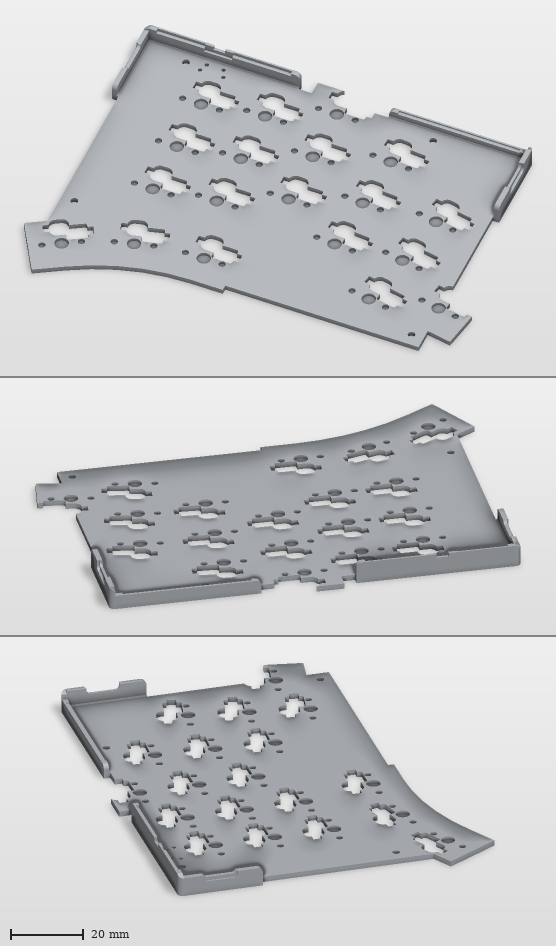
import cadquery as cq
import math


plate_thickness = 1.6
plate_left = 5.7
plate_right = 118.1
plate_front = 15.5
plate_back = 90.25

key_half_width = 9.4
key_half_depth = 8.7
row_pitch = 17.0

thumb_radius = 76.5
thumb_step = 15.0
thumb_fan = 2 * thumb_step
fan_sin = math.sin(math.radians(thumb_fan))
fan_cos = math.cos(math.radians(thumb_fan))
thumb_home_x = key_half_width * fan_cos + key_half_depth * fan_sin + thumb_radius * fan_sin
thumb_home_y = key_half_width * fan_sin + key_half_depth * fan_cos + thumb_radius * (1 - fan_cos)
thumb_center_y = thumb_home_y - thumb_radius

finger_columns = [
    (27.75, 40.55, 0, 3),
    (45.75, 43.35, 0, 3),
    (63.7, 51.76, 0, 3),
    (81.85, 41.5, -4, 3),
    (98.5, 26.5, -10, 3),
]
tab_column_x, tab_column_y = finger_columns[2][:2]
outer_key = (117.54, 30.91, -10)

seat_depth = 1.0
stem_hole_diameter = 4.0
side_pin_diameter = 2.0
side_pin_offset = 5.5
socket_left_pin_y = 5.9
socket_right_pin_y = 3.75
socket_left_lobe = (-2.8, 2.9)
socket_right_lobe = (1.65, 7.8)
socket_left_half_depth = 2.9
socket_right_half_depth = 2.65
socket_left_corner_radius = 2.0
socket_right_corner_radius = 0.6
socket_left_end = -4.5
socket_right_end = 9.4
socket_left_contact_width = 2.5
socket_right_contact_width = 2.7

screw_hole_diameter = 2.1
screw_holes = [(17.9, 87.1), (91.95, 87.15), (9.6, 28.0), (114.5, 19.0)]
usb_x = 26.05
usb_peg_diameter = 1.2
usb_back_pegs = (2.5, 88.5)
usb_front_pegs = (3.5, 86.05)

wall_thickness = 1.5
wall_foot = 0.4
wall_left = plate_left - wall_foot - wall_thickness
wall_right = plate_right + wall_foot + wall_thickness
wall_back = plate_back + wall_foot + wall_thickness
wall_inner_back = wall_back - wall_thickness
left_wall_front = 68.0
right_wall_front = 67.75
back_left_wall_end = 50.4
back_right_wall_start = 77.3
full_height = 6.39
left_wall_height = 5.5
back_right_wall_height = 4.1
wall_end_radius = 1.5
wall_corner_radius = 1.5
corner_ramp_length = 1.6
corner_ramp_rise = full_height - left_wall_height

lip_thickness = 0.5
left_ledge_height = 5.4
right_ledge_height = 3.65
ledge_end_gap = 2.6
ledge_corner_gap = 3.7

notch_front = 75.5
notch_back = 85.1
notch_corner_radius = 1.2
notch_inner_floor = 4.7
notch_outer_floor = 3.6
notch_outer_margin = 0.2
left_notch_step = 0.5
right_notch_step = 0.75

usb_slot_width = 3.4
usb_slot_floor = 5.3
usb_recess_width = 8.4
usb_recess_floor = 4.15
usb_recess_lip = 0.8


def block(x0, x1, y0, y1, z0, z1):
    """Box between two corners."""
    return cq.Workplane("XY").box(x1 - x0, y1 - y0, z1 - z0, centered=False).translate((x0, y0, z0))


def place(shape, x, y, angle):
    """Turn a shape about the switch axis and move it to the switch centre."""
    return shape.rotate((0, 0, 0), (0, 0, 1), angle).translate((x, y, 0))


def switch_positions():
    """Centre and rotation of every switch."""
    positions = []
    for x, y, tilt, count in finger_columns:
        slant = math.radians(tilt)
        for row in range(count):
            reach = row * row_pitch
            positions.append((x - reach * math.sin(slant), y + reach * math.cos(slant), tilt))
    for turn in (0, thumb_step, thumb_fan):
        x = thumb_home_x - thumb_radius * math.sin(math.radians(turn))
        y = thumb_center_y + thumb_radius * math.cos(math.radians(turn))
        positions.append((x, y, turn))
    positions.append(outer_key)
    return positions


def thumb_edge_point(turn):
    """Point of the front edge straight below the thumb key turned by this angle."""
    radius = thumb_radius - key_half_depth
    slant = math.radians(turn)
    return (thumb_home_x - radius * math.sin(slant), thumb_center_y + radius * math.cos(slant))


def make_plate():
    """Flat plate with the thumb fan, the tab behind the third column and the outer key tab."""
    front_corner_x = 2 * key_half_depth * fan_sin
    left_corner_y = 2 * key_half_depth * fan_cos
    thumb_side_y = left_corner_y + plate_left * math.tan(math.radians(thumb_fan))
    thumb_right = thumb_home_x + key_half_width
    thumb_front = thumb_home_y - key_half_depth
    tab_left = tab_column_x - key_half_width
    tab_back = tab_column_y + 2 * row_pitch + key_half_depth
    plate = (
        cq.Workplane("XY")
        .moveTo(front_corner_x, 0)
        .lineTo(*thumb_edge_point(thumb_fan))
        .threePointArc(thumb_edge_point(thumb_step), thumb_edge_point(0))
        .lineTo(thumb_right, thumb_front)
        .lineTo(thumb_right, plate_front)
        .lineTo(plate_right, plate_front)
        .lineTo(plate_right, plate_back)
        .lineTo(tab_column_x, plate_back)
        .lineTo(tab_column_x, tab_back)
        .lineTo(tab_left, tab_back)
        .lineTo(tab_left, plate_back)
        .lineTo(plate_left, plate_back)
        .lineTo(plate_left, thumb_side_y)
        .lineTo(0, left_corner_y)
        .close()
        .extrude(plate_thickness)
    )
    outer_tab = block(
        -key_half_width, key_half_width, -key_half_depth, socket_right_pin_y, 0, plate_thickness
    )
    return plate.union(place(outer_tab, *outer_key))


def socket_lobe(span, pin_y, half_depth, radius):
    """Rounded block of a socket opening around one contact pin."""
    lobe = block(*span, pin_y - half_depth, pin_y + half_depth, 0, plate_thickness)
    return lobe.edges("|Z").fillet(radius)


def contact_slot(x0, x1, pin_y, width):
    """Straight slot for the solder contact at one end of the socket."""
    return block(x0, x1, pin_y - width / 2, pin_y + width / 2, 0, plate_thickness)


def make_switch_seat():
    """Socket opening through the plate and blind holes for the stem and the two side pins."""
    left_lobe = socket_lobe(
        socket_left_lobe, socket_left_pin_y, socket_left_half_depth, socket_left_corner_radius
    )
    right_lobe = socket_lobe(
        socket_right_lobe, socket_right_pin_y, socket_right_half_depth, socket_right_corner_radius
    )
    left_slot = contact_slot(socket_left_end, 0, socket_left_pin_y, socket_left_contact_width)
    right_slot = contact_slot(
        socket_right_lobe[0], socket_right_end, socket_right_pin_y, socket_right_contact_width
    )
    floor = cq.Workplane("XY").workplane(offset=plate_thickness - seat_depth)
    stem_hole = floor.circle(stem_hole_diameter / 2).extrude(seat_depth)
    pin_holes = (
        floor.pushPoints([(-side_pin_offset, 0), (side_pin_offset, 0)])
        .circle(side_pin_diameter / 2)
        .extrude(seat_depth)
    )
    return left_lobe.union(right_lobe).union(left_slot).union(right_slot).union(stem_hole).union(pin_holes)


def make_small_holes():
    """Through holes for screws and blind holes for the pegs of the USB socket."""
    screws = (
        cq.Workplane("XY").pushPoints(screw_holes).circle(screw_hole_diameter / 2).extrude(plate_thickness)
    )
    peg_points = [
        (usb_x + side * offset, y)
        for offset, y in (usb_back_pegs, usb_front_pegs)
        for side in (-1, 1)
    ]
    pegs = (
        cq.Workplane("XY")
        .workplane(offset=plate_thickness - seat_depth)
        .pushPoints(peg_points)
        .circle(usb_peg_diameter / 2)
        .extrude(seat_depth)
    )
    return screws.union(pegs)


def notch_cut(x0, x1, floor, margin):
    """Cutter for a side wall notch with rounded floor corners, widened by a margin at both ends."""
    notch = block(x0, x1, notch_front - margin, notch_back + margin, floor, full_height)
    return notch.edges("|X and <Z").fillet(notch_corner_radius)


def side_wall(x0, front, height):
    """Side wall with a rounded front end and a notch down to the inner floor level."""
    x1 = x0 + wall_thickness
    wall = block(x0, x1, front, wall_back, 0, height)
    wall = wall.edges("|X and >Z and <Y").fillet(wall_end_radius)
    return wall.cut(notch_cut(x0, x1, notch_inner_floor, 0))


def left_wall():
    """Left wall, its notch deeper and wider along the outer face."""
    step = wall_left + left_notch_step
    deep_notch = notch_cut(wall_left, step, notch_outer_floor, notch_outer_margin)
    return side_wall(wall_left, left_wall_front, left_wall_height).cut(deep_notch)


def right_wall():
    """Right wall, its notch deeper and wider along the outer face and its back end ramped."""
    step = wall_right - right_notch_step
    deep_notch = notch_cut(step, wall_right, notch_outer_floor, notch_outer_margin)
    wall = side_wall(wall_right - wall_thickness, right_wall_front, full_height)
    return wall.cut(deep_notch).cut(right_corner_ramp())


def back_left_wall():
    """Back wall with a ramp up from the left wall, a ledge and the USB opening."""
    wall = (
        cq.Workplane("XZ", origin=(0, wall_back, 0))
        .moveTo(wall_left, 0)
        .lineTo(back_left_wall_end, 0)
        .lineTo(back_left_wall_end, full_height)
        .lineTo(wall_left + corner_ramp_length, full_height)
        .lineTo(wall_left, left_wall_height)
        .close()
        .extrude(wall_thickness)
    )
    wall = wall.edges("|Y and >X and >Z").fillet(wall_end_radius)
    ledge = block(
        wall_left + ledge_corner_gap,
        back_left_wall_end - ledge_end_gap,
        wall_inner_back,
        wall_back - lip_thickness,
        left_ledge_height,
        full_height,
    )
    slot_half = usb_slot_width / 2
    slot = block(
        usb_x - slot_half, usb_x + slot_half, wall_inner_back, wall_back, usb_slot_floor, full_height
    )
    recess_back = wall_back - usb_recess_lip
    recess_half = usb_recess_width / 2
    recess = block(
        usb_x - recess_half,
        usb_x + recess_half,
        wall_inner_back,
        recess_back,
        usb_recess_floor,
        full_height,
    )
    thick_lip = block(
        usb_x - recess_half, usb_x + recess_half, recess_back, wall_back, left_ledge_height, full_height
    )
    return wall.cut(ledge.cut(thick_lip)).cut(slot).cut(recess)


def back_right_wall():
    """Lower back wall with a rounded free end and a ledge."""
    wall = block(
        back_right_wall_start, wall_right, wall_inner_back, wall_back, 0, back_right_wall_height
    )
    wall = wall.edges("|Y and <X and >Z").fillet(wall_end_radius)
    ledge = block(
        back_right_wall_start + ledge_end_gap,
        wall_right - ledge_corner_gap,
        wall_inner_back,
        wall_back - lip_thickness,
        right_ledge_height,
        back_right_wall_height,
    )
    return wall.cut(ledge)


def right_corner_ramp():
    """Wedge cut from the back end of the right wall, its top falling towards the inner face."""
    inner_x = wall_right - wall_thickness
    return (
        cq.Workplane("XZ", origin=(0, wall_back, 0))
        .moveTo(inner_x, full_height)
        .lineTo(wall_right, full_height)
        .lineTo(inner_x, full_height - corner_ramp_rise)
        .close()
        .extrude(wall_thickness)
    )


def foot_profile(plane, origin, outward):
    """Section under a wall: plate-thick strip topped by a chamfer up to the wall's inner face."""
    return (
        cq.Workplane(plane, origin=origin)
        .polyline(
            [
                (0, 0),
                (outward * wall_foot, 0),
                (outward * wall_foot, plate_thickness + wall_foot),
                (0, plate_thickness),
            ]
        )
        .close()
    )


def make_feet():
    """Strips that join the rim walls to the plate edges."""
    left_length = wall_inner_back - left_wall_front
    left = foot_profile("XZ", (plate_left, wall_inner_back, 0), -1).extrude(left_length)
    right_length = wall_inner_back - right_wall_front
    right = foot_profile("XZ", (plate_right, wall_inner_back, 0), 1).extrude(right_length)
    back_left_length = back_left_wall_end - plate_left + wall_foot
    back_left = foot_profile("YZ", (plate_left - wall_foot, plate_back, 0), 1).extrude(back_left_length)
    back_right_length = plate_right + wall_foot - back_right_wall_start
    back_right = foot_profile("YZ", (back_right_wall_start, plate_back, 0), 1).extrude(back_right_length)
    return left.union(right).union(back_left).union(back_right)


def make_rim():
    """All rim walls with their rounded outer corners."""
    rim = left_wall().union(back_left_wall()).union(right_wall()).union(back_right_wall())
    corner_limit = (
        block(wall_left, wall_right, right_wall_front, wall_back, 0, full_height)
        .edges("|Z and >Y")
        .fillet(wall_corner_radius)
    )
    return rim.intersect(corner_limit).union(make_feet())


result = make_plate().union(make_rim())
switch_seat = make_switch_seat()
for position in switch_positions():
    result = result.cut(place(switch_seat, *position))
result = result.cut(make_small_holes())